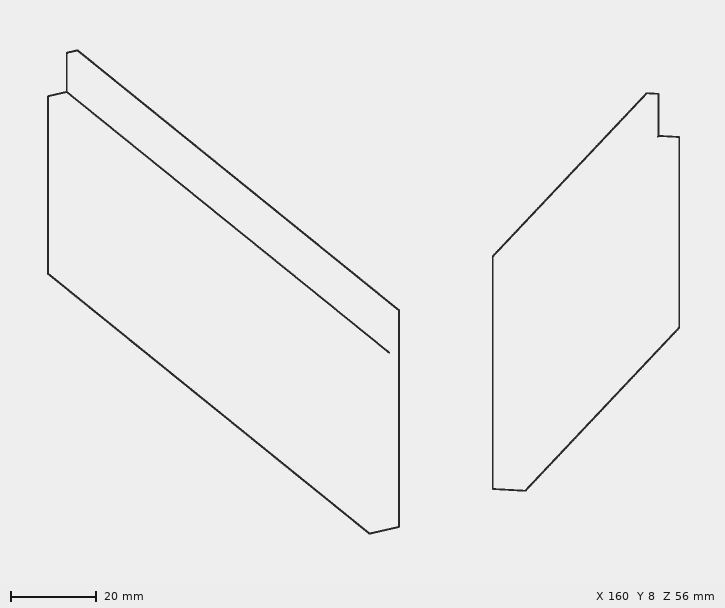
import cadquery as cq

length = 160.0
thickness = 8.0
height = 56.0

lip_height = 10.0
lip_thickness = 3.0

edge_radius = 0.3

plate = cq.Workplane("XY").box(length, thickness, height, centered=(True, True, False))

rebate = (
    cq.Workplane("XY")
    .box(length, thickness - lip_thickness, lip_height, centered=(True, False, False))
    .translate((0, -thickness / 2, height - lip_height))
)
stepped_plate = plate.cut(rebate)

inside_corner = cq.selectors.NearestToPointSelector(
    (0, thickness / 2 - lip_thickness, height - lip_height)
)
outer_edges = stepped_plate.edges(cq.selectors.InverseSelector(inside_corner))
result = outer_edges.fillet(edge_radius)